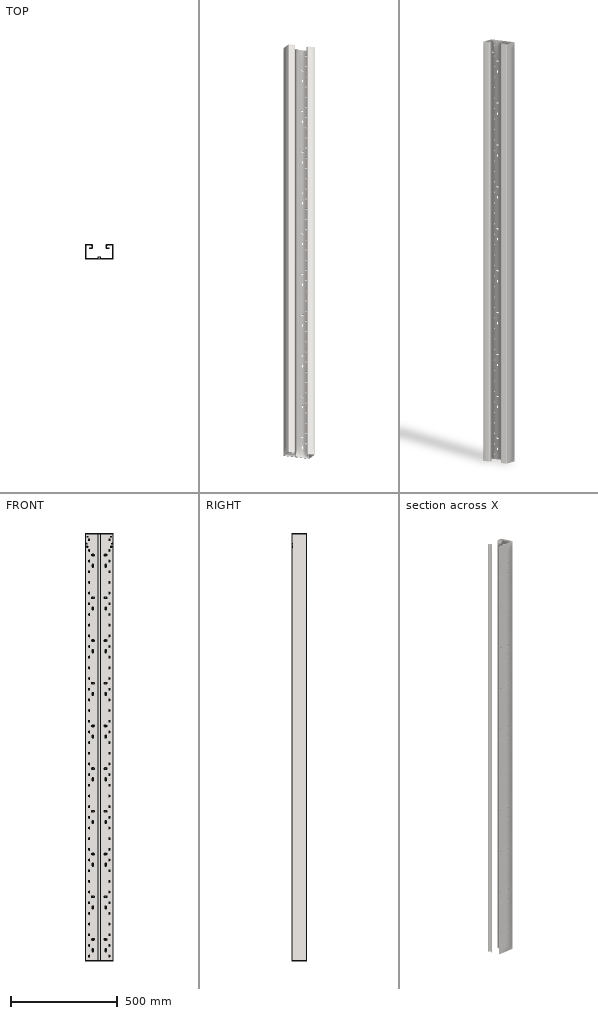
import cadquery as cq

width = 130.0
depth = 68.0
height = 2000.0

thickness = 3.0
bend_radius = 3.5
hook_radius = 6.0
mouth_width = 62.0
hook_depth = 19.5
hook_width = 15.0

rib_width = 14.0
rib_height = 7.0
rib_edge_radius = 1.0

edge_hole_diameter = 6.5
edge_hole_spacing = 96.0
edge_hole_pitch = 50.0
edge_hole_count = 40
first_edge_hole_z = 22.0

slot_length = 13.0
slot_width = 6.0
slot_spacing = 60.0
slot_pitch = 200.0
slot_count = 10
first_cross_slot_z = 100.0
first_upright_slot_z = 50.0

top_holes = [
    (55.5, 14.5, 3.5),
    (58.5, 46.5, 3.0),
    (56.0, 61.0, 6.5),
]

web_inside = -depth / 2 + thickness


def bar(x_min, x_max, y_min, y_max):
    """Full-height rectangular bar between the given X and Y limits."""
    blank = cq.Workplane("XY").box(x_max - x_min, y_max - y_min, height, centered=False)
    return blank.translate((x_min, y_min, 0))


def rounded_bar(x_min, x_max, y_min, y_max, radius, edges="|Z"):
    """Full-height bar with its chosen long edges rounded."""
    return bar(x_min, x_max, y_min, y_max).edges(edges).fillet(radius)


def box_section():
    """Closed rectangular tube that holds the web, the side walls and the flanges."""
    x, y = width / 2, depth / 2
    outside = rounded_bar(-x, x, -y, y, bend_radius)
    x, y = x - thickness, y - thickness
    inside = rounded_bar(-x, x, -y, y, bend_radius - thickness)
    return outside.cut(inside)


def hook():
    """J-shaped lip on the +X flange: down from the flange, then back towards the side wall."""
    x_min = mouth_width / 2
    x_max = x_min + hook_width
    y_max = depth / 2
    y_min = y_max - hook_depth
    t = thickness
    outside = rounded_bar(x_min, x_max, y_min, y_max, hook_radius, "|Z and <X")
    inside = rounded_bar(x_min + t, x_max, y_min + t, y_max - t, hook_radius - t, "|Z and <X")
    return outside.cut(inside)


def channel():
    """Tube opened along its +Y side, with a hook on each flange."""
    x_hook_end = mouth_width / 2 + hook_width
    opened = box_section().cut(bar(-x_hook_end, x_hook_end, 0, depth / 2))
    return opened.union(hook()).union(hook().mirror("YZ"))


def rib():
    """Solid rib on the inside of the web, with its two free edges rounded."""
    x = rib_width / 2
    return rounded_bar(-x, x, web_inside, web_inside + rib_height, rib_edge_radius, "|Z and >Y")


def mirrored_rows(spacing, first_z, pitch, count):
    """(X, Z) places in two vertical rows, one on each side of the middle plane."""
    return [(side * spacing / 2, first_z + i * pitch) for side in (-1, 1) for i in range(count)]


def web_places(places):
    """Workplane on the inside face of the web, facing -Y, with the given (X, Z) places."""
    return cq.Workplane("XZ", origin=(0, web_inside, 0)).pushPoints(places)


def round_holes(places, diameter):
    return web_places(places).circle(diameter / 2).extrude(thickness)


def slots(first_z, angle):
    places = mirrored_rows(slot_spacing, first_z, slot_pitch, slot_count)
    return web_places(places).slot2D(slot_length, slot_width, angle).extrude(thickness)


def edge_holes():
    places = mirrored_rows(edge_hole_spacing, first_edge_hole_z, edge_hole_pitch, edge_hole_count)
    return round_holes(places, edge_hole_diameter)


def top_hole_pair(offset, drop, diameter):
    places = [(-offset, height - drop), (offset, height - drop)]
    return round_holes(places, diameter)


result = channel().union(rib())
result = result.cut(edge_holes())
result = result.cut(slots(first_cross_slot_z, 0))
result = result.cut(slots(first_upright_slot_z, 90))
for offset, drop, diameter in top_holes:
    result = result.cut(top_hole_pair(offset, drop, diameter))